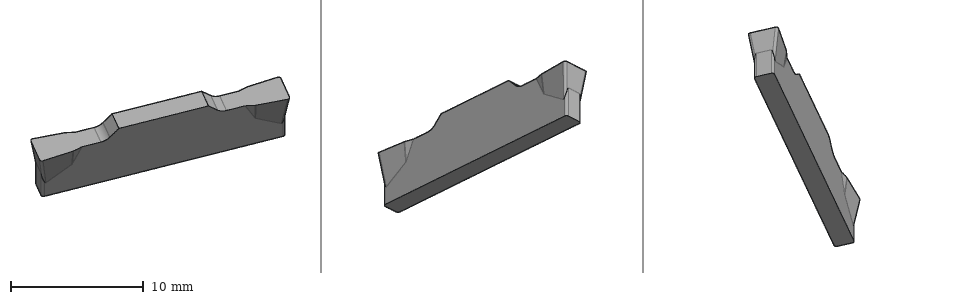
import cadquery as cq
import math


total_length = 19.92
total_height = 5.51
head_width = 2.39

plate_width = 1.59
plate_length = 19.42
end_corner_radius = 0.2

land_length = 7.14
land_rise = 1.02
ramp_angle = 45.0
ramp_blend_radius = 1.0
head_level = total_height - land_rise

relief_angle = 7.0
flank_length = 2.7
flank_angle = 4.5
shoulder_angle = 15.0
shoulder_radius = 0.35
head_depth = 3.5


def make_plate():
    """Plate cut from the side outline, with the vertical end corners rounded."""
    half_plate = plate_length / 2
    half_land = land_length / 2
    angle = math.radians(ramp_angle)

    blend_rise = ramp_blend_radius * (1 - math.cos(angle))
    ramp_foot_y = half_land + (land_rise - blend_rise) / math.tan(angle)
    ramp_foot_z = head_level + blend_rise
    blend_end_y = ramp_foot_y + ramp_blend_radius * math.sin(angle)
    blend_mid_y = blend_end_y - ramp_blend_radius * math.sin(angle / 2)
    blend_mid_z = head_level + ramp_blend_radius * (1 - math.cos(angle / 2))

    outline = (
        cq.Workplane("YZ")
        .moveTo(-half_plate, 0)
        .lineTo(half_plate, 0)
        .lineTo(half_plate, head_level)
        .lineTo(blend_end_y, head_level)
        .threePointArc((blend_mid_y, blend_mid_z), (ramp_foot_y, ramp_foot_z))
        .lineTo(half_land, total_height)
        .lineTo(-half_land, total_height)
        .lineTo(-ramp_foot_y, ramp_foot_z)
        .threePointArc((-blend_mid_y, blend_mid_z), (-blend_end_y, head_level))
        .lineTo(-half_plate, head_level)
        .close()
    )
    plate = outline.extrude(plate_width / 2, both=True)
    return plate.faces("<Y or >Y").edges("|Z").fillet(end_corner_radius)


def round_slanted_edges(head, top_y, radius):
    """Fillet the two slanted head edges nearest the given Y at mid depth, one on each flank."""
    centre_z = head_level - head_depth / 2
    for side in (-1, 1):
        target = (side * head_width / 2, top_y, centre_z)
        head = head.edges("not #Z").edges(cq.selectors.NearestToPointSelector(target)).fillet(radius)
    return head


def make_head():
    """Head at the +Y end: its plan tapers downward by the relief angle on every side."""
    front_y = total_length / 2
    shoulder_y = front_y - flank_length
    front_half_width = head_width / 2 + end_corner_radius * math.tan(math.radians(flank_angle))
    shoulder_half_width = front_half_width - flank_length * math.tan(math.radians(flank_angle))

    root_half_width = plate_width / 4
    root_y = shoulder_y - (shoulder_half_width - root_half_width) / math.tan(math.radians(shoulder_angle))

    right_side = [
        (root_half_width, root_y),
        (shoulder_half_width, shoulder_y),
        (front_half_width, front_y),
    ]
    left_side = [(-x, y) for x, y in reversed(right_side)]
    head = (
        cq.Workplane("XY")
        .workplane(offset=head_level)
        .polyline(right_side + left_side)
        .close()
        .extrude(-head_depth, taper=relief_angle)
    )

    head = round_slanted_edges(head, front_y, end_corner_radius)
    head = round_slanted_edges(head, shoulder_y, shoulder_radius)
    return head


plate = make_plate()
head = make_head()
result = plate.union(head).union(head.mirror("XZ"))